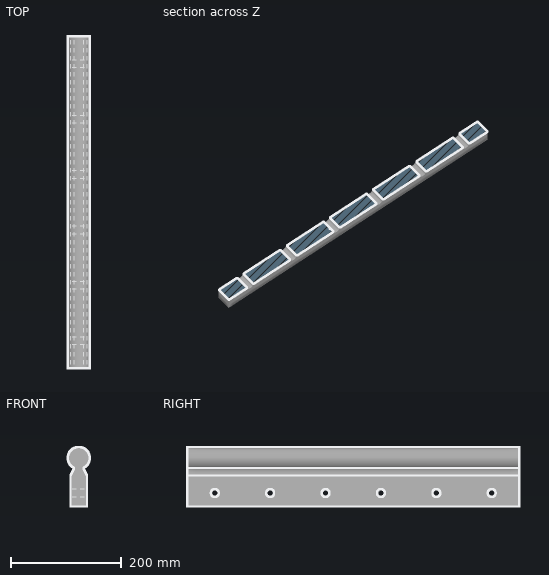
import cadquery as cq
import math

length = 600.0
height = 108.0

rod_diameter = 40.0
rod_radius = rod_diameter / 2
rod_center_z = height - rod_radius

web_width = 30.0
shoulder_z = 56.5
neck_width = 17.0

hole_count = 6
hole_diameter = 14.0
hole_z = 24.5
hole_pitch = length / hole_count

half_web = web_width / 2
half_neck = neck_width / 2

neck_z = rod_center_z - math.sqrt(rod_radius**2 - half_neck**2)


def make_rail():
    """Extrude the web and rod outline, centered along Y."""
    outline = (
        cq.Workplane("XZ")
        .moveTo(-half_web, 0)
        .lineTo(half_web, 0)
        .lineTo(half_web, shoulder_z)
        .lineTo(half_neck, neck_z)
        .threePointArc((0, height), (-half_neck, neck_z))
        .lineTo(-half_web, shoulder_z)
        .close()
    )
    return outline.extrude(length / 2, both=True)


def make_mounting_holes():
    """Evenly spaced cylinders crossing the full web width."""
    return (
        cq.Workplane("YZ")
        .center(0, hole_z)
        .rarray(hole_pitch, 6, hole_count, 1)
        .circle(hole_diameter / 2)
        .extrude(half_web, both=True)
    )


result = make_rail().cut(make_mounting_holes())